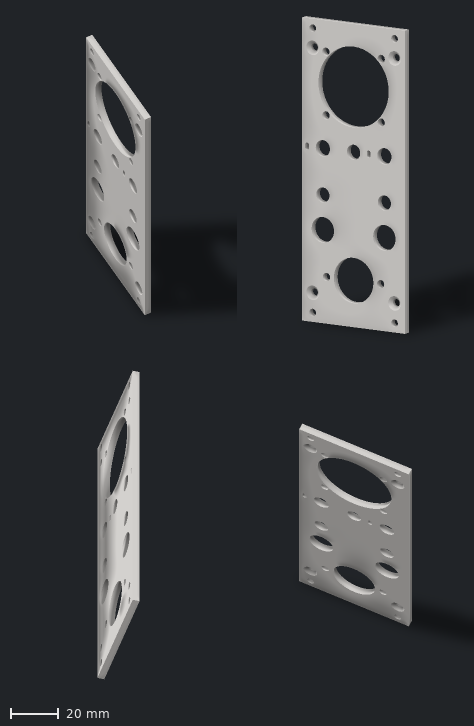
import cadquery as cq

panel_width = 50.8
panel_height = 130.0
panel_thickness = 3.0

edge_inset = 5.2
fixing_x = panel_width / 2 - edge_inset
fixing_z = 61.0
fixing_diameter = 3.2
screw_z = 52.5
screw_diameter = 3.2
screw_head_diameter = 6.2
screw_head_angle = 90.0

display_z = 38.0
display_diameter = 34.7
display_screw_offset = 13.6
mount_screw_diameter = 3.5

connector_z = -45.0
connector_diameter = 19.5
connector_screw_offset = 13.4

control_x = 15.2
control_z = 10.0
knob_diameter = 7.0
switch_diameter = 6.5
lamp_z = -10.0
lamp_diameter = 6.5
jack_z = -25.0
jack_diameter = 11.0

slot_offset = 7.8
slot_length = 3.1
slot_width = 1.8


def mirrored_x(x, z):
    """Two points at the same height, one on each side of the centre line."""
    return [(-x, z), (x, z)]


def rectangle_corners(x, z, centre_z=0.0):
    """Four points at +/- x and +/- z around a point on the centre line."""
    return mirrored_x(x, centre_z - z) + mirrored_x(x, centre_z + z)


def front_points(body, points):
    """Place (x, z) points on the front face of the panel."""
    return body.copyWorkplane(cq.Workplane("XZ")).pushPoints(points)


def drill(body, points, diameter):
    """Cut round through holes of one diameter."""
    return front_points(body, points).hole(diameter)


panel = cq.Workplane("XY").box(
    panel_width, panel_thickness, panel_height, centered=(True, False, True)
)

display_screws = rectangle_corners(display_screw_offset, display_screw_offset, display_z)
connector_screws = mirrored_x(connector_screw_offset, connector_z)
knobs = mirrored_x(control_x, control_z)

panel = drill(panel, rectangle_corners(fixing_x, fixing_z), fixing_diameter)
panel = drill(panel, [(0, display_z)], display_diameter)
panel = drill(panel, [(0, connector_z)], connector_diameter)
panel = drill(panel, display_screws + connector_screws, mount_screw_diameter)
panel = drill(panel, knobs, knob_diameter)
panel = drill(panel, [(0, control_z)], switch_diameter)
panel = drill(panel, mirrored_x(control_x, lamp_z), lamp_diameter)
panel = drill(panel, mirrored_x(control_x, jack_z), jack_diameter)

panel = front_points(panel, rectangle_corners(fixing_x, screw_z)).cskHole(
    screw_diameter, screw_head_diameter, screw_head_angle
)

slot_centres = [(x - slot_offset, z) for x, z in knobs]
panel = (
    front_points(panel, slot_centres)
    .slot2D(slot_length, slot_width, angle=90)
    .cutThruAll()
)

result = panel